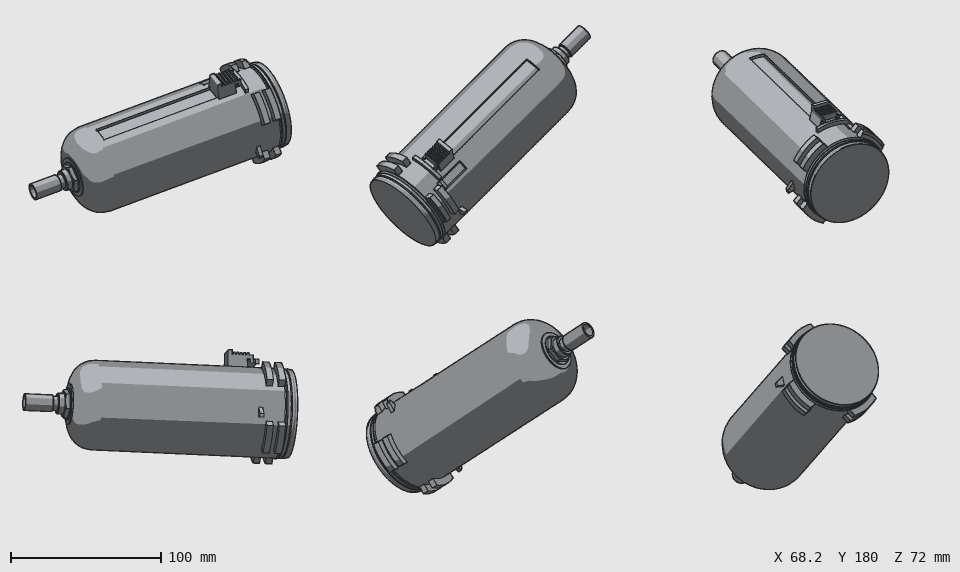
import cadquery as cq
import math

LENGTH = 180.0
HEIGHT = 72.0

BOWL_R = 60.0 / 2
FLOOR_R = 55.6 / 2
BOWL_END = 149.2
DOME_R = 16.2

RIM_GROOVE_R = 29.5
LIP_END = 0.7
BEAD_START = 1.3
BEAD_END = 3.6
BAND_START = 4.5
BAND_END = 6.7
SHARP_RIDGE_R = 30.6
SHARP_RIDGE_AT = 8.0
SHARP_RIDGE_END = 8.6

LUG_R = 35.0
LUG_WIDTH = 21.8
LUG_DEPTH = (math.sqrt(LUG_R**2 - (LUG_WIDTH / 2) ** 2) + LUG_WIDTH / 2) * math.sqrt(0.5)
LUG_ROWS = [(8.5, 13.0), (17.0, 21.2)]
LUG_ANGLES = [45.0, 135.0, 225.0, 315.0]
KEY_LUG_ANGLE = 315.0
KEY_STEP_R = 33.1
KEY_STEP_END = 9.4

STOP_START = 24.0
STOP_END = 26.6
STOP_ANGLES = [0.0, 180.0]
STOP_REACH = 68.2 / 2
STOP_OUTLINE = [(27.9, -9.2), (33.5, -10.8), (STOP_REACH, -8.3), (29.5, -2.9), (27.9, -2.9)]

POCKET_INNER_X = -11.0
POCKET_OUTER_X = -17.5
POCKET_START = 21.8
POCKET_END = 44.3
STEP_HEIGHT = 1.0
STEP_TOP_END = 24.1
STEP_RAMP_END = 26.6

LATCH_WIDTH = 11.3
STRIP_R = 35.6
STRIP_INNER_R = 32.8
STRIP_WIDTH = 23.8
WEB_R = 33.8
STRIP_START = 22.9
STRIP_END = 25.4
LEG_THICKNESS = 1.0
LEG_END = 27.4
PLATE_START = 28.0
PLATE_BOTTOM = 35.1
PLATE_TOP = 37.8
STEM_START = 29.5
LATCH_END = 42.8
STEM_BASE_WIDTH = 15.5
RIB_COUNT = 5
RIB_BASE = 1.8
RIB_CREST = 0.9
RIB_PITCH = 2.3
RIB_HEIGHT = 1.5
END_LIP_TOP = HEIGHT - LUG_DEPTH
END_LIP_START = 39.8
END_LIP_ROUND = 1.0

SLOT_START = STEM_START
SLOT_END = 129.2

FLANGE_R = 27.0 / 2
FLANGE_END = 150.1
WASHER_R = 10.6
WASHER_END = 150.7
HEX_ACROSS_FLATS = 17.1
HEX_END = 153.7
HEX_CHAMFER_DROP = 0.7
COLLAR_R = 14.0 / 2
COLLAR_END = 157.9
NECK_R = 9.7 / 2
NECK_END = 161.0
TUBE_R = 11.3 / 2
BORE_R = 8.6 / 2
EDGE_CHAMFER = 0.5


def turned(outline):
    """Revolve a closed (radius, axial) outline about the bowl axis."""
    points = [(radius, -axial) for radius, axial in outline]
    return cq.Workplane("XY").polyline(points).close().revolve(360, (0, 0, 0), (0, 1, 0))


def disc(radius, start, end):
    """A cylinder on the bowl axis between two axial positions."""
    return cq.Workplane("XZ", origin=(0, -start, 0)).circle(radius).extrude(end - start)


def box(x_limits, axial_limits, z_limits):
    """A block between two X, two axial and two Z positions."""
    (x0, x1), (a0, a1), (z0, z1) = x_limits, axial_limits, z_limits
    return cq.Workplane("XY").box(x1 - x0, a1 - a0, z1 - z0, centered=False).translate((x0, -a1, z0))


def about_axis(shape, angle):
    """Turn a shape about the bowl axis; a positive angle carries +Z towards +X."""
    return shape.rotate((0, 0, 0), (0, 1, 0), angle)


def bowl_blank():
    """The domed body with the ridges and grooves of its rim."""
    bulge = (BOWL_R - RIM_GROOVE_R) / (BEAD_END - BEAD_START)
    lip_r = RIM_GROOVE_R + bulge * LIP_END
    valley_r = RIM_GROOVE_R - bulge * (BEAD_START - LIP_END)
    profile = (
        cq.Workplane("XY")
        .moveTo(0, 0)
        .lineTo(RIM_GROOVE_R, 0)
        .threePointArc((lip_r, -LIP_END / 2), (RIM_GROOVE_R, -LIP_END))
        .threePointArc((valley_r, -(LIP_END + BEAD_START) / 2), (RIM_GROOVE_R, -BEAD_START))
        .threePointArc((BOWL_R, -(BEAD_START + BEAD_END) / 2), (RIM_GROOVE_R, -BEAD_END))
        .lineTo(RIM_GROOVE_R, -BAND_START)
        .lineTo(BOWL_R, -BAND_START)
        .lineTo(BOWL_R, -BAND_END)
        .lineTo(RIM_GROOVE_R, -BAND_END)
        .lineTo(SHARP_RIDGE_R, -SHARP_RIDGE_AT)
        .lineTo(BOWL_R, -SHARP_RIDGE_END)
        .lineTo(BOWL_R, DOME_R - BOWL_END)
        .radiusArc((BOWL_R - DOME_R, -BOWL_END), DOME_R)
        .lineTo(0, -BOWL_END)
        .close()
    )
    return profile.revolve(360, (0, 0, 0), (0, 1, 0))


def lug(start, end):
    """One bayonet lug on the +Z side."""
    half = LUG_WIDTH / 2
    strip = box((-half, half), (start, end), (FLOOR_R, LUG_R))
    return strip.intersect(disc(LUG_R, start, end).cut(disc(FLOOR_R, start, end)))


def key_step():
    """The cut that lowers the rim end of the key lug."""
    start = LUG_ROWS[0][0]
    block = box((-LUG_WIDTH / 2, LUG_WIDTH / 2), (start, KEY_STEP_END), (0, LUG_R))
    return block.cut(disc(KEY_STEP_R, start, KEY_STEP_END))


def side_stop():
    """The hook on the +X side."""
    plane = cq.Workplane("XZ", origin=(0, -STOP_START, 0))
    return plane.polyline(STOP_OUTLINE).close().extrude(STOP_END - STOP_START)


def recess(width, start, end):
    """The cut for a straight-sided recess on the +Z side, down to the floor cylinder."""
    block = box((-width / 2, width / 2), (start, end), (0, BOWL_R))
    return block.cut(disc(FLOOR_R, start, end))


def pocket_prism(start, end):
    """The pocket's cross-section, run between two axial positions."""
    edge_z = math.sqrt(BOWL_R**2 - POCKET_OUTER_X**2)
    drop = POCKET_INNER_X - POCKET_OUTER_X
    outline = [
        (POCKET_INNER_X, edge_z - drop),
        (POCKET_INNER_X, BOWL_R),
        (POCKET_OUTER_X, BOWL_R),
        (POCKET_OUTER_X, edge_z),
    ]
    return cq.Workplane("XZ", origin=(0, -start, 0)).polyline(outline).close().extrude(end - start)


def pocket_step():
    """The step at the rim end of the pocket, sloping down to the pocket floor."""
    step_r = FLOOR_R + STEP_HEIGHT
    ring = turned([
        (FLOOR_R, POCKET_START),
        (step_r, POCKET_START),
        (step_r, STEP_TOP_END),
        (FLOOR_R, STEP_RAMP_END),
    ])
    return ring.intersect(pocket_prism(POCKET_START, STEP_RAMP_END))


def make_bowl():
    """The bowl with its lugs, stops, slot and pocket."""
    bowl = bowl_blank()
    for start, end in LUG_ROWS:
        for angle in LUG_ANGLES:
            bowl = bowl.union(about_axis(lug(start, end), angle))
    bowl = bowl.cut(about_axis(key_step(), KEY_LUG_ANGLE))
    for angle in STOP_ANGLES:
        bowl = bowl.union(about_axis(side_stop(), angle))
    bowl = bowl.cut(recess(LATCH_WIDTH, SLOT_START, SLOT_END))
    pocket = pocket_prism(POCKET_START, POCKET_END).cut(disc(FLOOR_R, POCKET_START, POCKET_END))
    return bowl.cut(pocket.cut(pocket_step()))


def curved_strip(outer_r, width, start, end):
    """A strip curved about the bowl axis, centred on the +Z side."""
    ring = disc(outer_r, start, end).cut(disc(STRIP_INNER_R, start, end))
    return ring.intersect(box((-width / 2, width / 2), (start, end), (0, outer_r)))


def latch_stem():
    """The tapered foot that stands on the bowl, with a tongue down to the slot floor."""
    outline = [
        (-LATCH_WIDTH / 2, PLATE_BOTTOM),
        (LATCH_WIDTH / 2, PLATE_BOTTOM),
        (STEM_BASE_WIDTH / 2, FLOOR_R),
        (-STEM_BASE_WIDTH / 2, FLOOR_R),
    ]
    plane = cq.Workplane("XZ", origin=(0, -STEM_START, 0))
    foot = plane.polyline(outline).close().extrude(LATCH_END - STEM_START)
    foot = foot.cut(disc(BOWL_R, STEM_START, LATCH_END))
    return foot.union(recess(LATCH_WIDTH, STEM_START, LATCH_END))


def grip_rib(start):
    """One tapered grip rib across the push plate."""
    crest_start = start + (RIB_BASE - RIB_CREST) / 2
    outline = [
        (-start, PLATE_TOP),
        (-crest_start, PLATE_TOP + RIB_HEIGHT),
        (-crest_start - RIB_CREST, PLATE_TOP + RIB_HEIGHT),
        (-start - RIB_BASE, PLATE_TOP),
    ]
    plane = cq.Workplane("YZ", origin=(-LATCH_WIDTH / 2, 0, 0))
    return plane.polyline(outline).close().extrude(LATCH_WIDTH)


def latch_button():
    """The push plate with grip ribs, a raised end lip and two front legs."""
    half = LATCH_WIDTH / 2
    sides = (-half, half)
    button = box(sides, (PLATE_START, LATCH_END), (PLATE_BOTTOM, PLATE_TOP))
    for index in range(RIB_COUNT):
        button = button.union(grip_rib(PLATE_START + index * RIB_PITCH))
    lip = box(sides, (END_LIP_START, LATCH_END), (PLATE_BOTTOM, END_LIP_TOP))
    button = button.union(lip.edges(">Z and <Y").fillet(END_LIP_ROUND))
    for inner in (-half, half - LEG_THICKNESS):
        leg_sides = (inner, inner + LEG_THICKNESS)
        button = button.union(box(leg_sides, (STRIP_END, LEG_END), (STRIP_INNER_R, PLATE_TOP)))
        button = button.union(box(leg_sides, (LEG_END, PLATE_START), (PLATE_BOTTOM, PLATE_TOP)))
    return button


def make_latch():
    """The latch: button on a stem, with a curved strip carried in front of it."""
    latch = latch_stem().union(latch_button())
    latch = latch.union(curved_strip(STRIP_R, STRIP_WIDTH, STRIP_START, STRIP_END))
    latch = latch.union(curved_strip(WEB_R, LATCH_WIDTH, STRIP_END, STEM_START))
    core_width = LATCH_WIDTH - 2 * LEG_THICKNESS
    return latch.union(curved_strip(PLATE_BOTTOM, core_width, STRIP_END, STEM_START))


def hex_nut():
    """The hexagon, corners on the Z axis, with its outer corners bevelled."""
    corner_r = HEX_ACROSS_FLATS / 2 / math.cos(math.pi / 6)
    plane = cq.Workplane("XZ", origin=(0, -WASHER_END, 0)).transformed(rotate=(0, 0, 90))
    nut = plane.polygon(6, 2 * corner_r).extrude(HEX_END - WASHER_END)
    bevel = turned([
        (0, WASHER_END),
        (corner_r, WASHER_END),
        (corner_r, HEX_END - HEX_CHAMFER_DROP),
        (HEX_ACROSS_FLATS / 2, HEX_END),
        (0, HEX_END),
    ])
    return nut.intersect(bevel)


def make_drain():
    """The drain fitting, seated on the end of the dome, with a bored tube."""
    stack = turned([
        (0, BOWL_END),
        (FLANGE_R, BOWL_END),
        (FLANGE_R, FLANGE_END),
        (WASHER_R, FLANGE_END),
        (WASHER_R, WASHER_END),
        (COLLAR_R, WASHER_END),
        (COLLAR_R, COLLAR_END - EDGE_CHAMFER),
        (COLLAR_R - EDGE_CHAMFER, COLLAR_END),
        (NECK_R, COLLAR_END),
        (NECK_R, NECK_END),
        (TUBE_R - EDGE_CHAMFER, NECK_END),
        (TUBE_R, NECK_END + EDGE_CHAMFER),
        (TUBE_R, LENGTH),
        (0, LENGTH),
    ])
    return stack.union(hex_nut()).cut(disc(BORE_R, NECK_END, LENGTH))


bowl = make_bowl()
latch = make_latch()
drain = make_drain()

result = cq.Compound.makeCompound([bowl.val(), latch.val(), drain.val()])